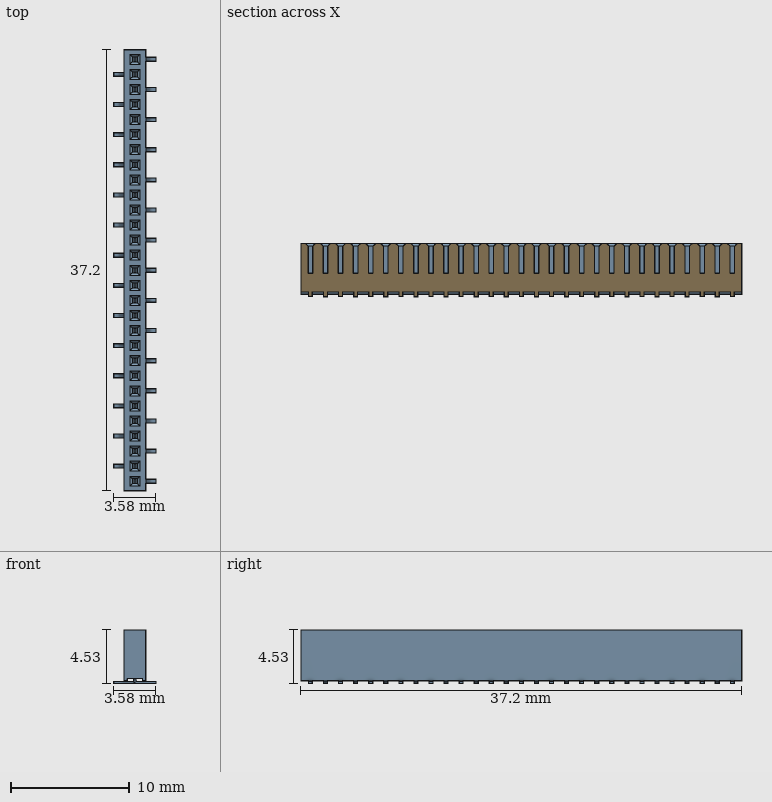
import cadquery as cq
import math


contact_count = 29
pitch = 1.27

total_height = 4.53
housing_height = 4.3
housing_width = 1.84
housing_length = 37.18
channel_width = 1.25
channel_height = 0.2

lead_span = 3.58
lead_thickness = 0.2
lead_width = 0.35
bend_inner_radius = 0.05

mouth_size = 0.84
floor_size = 0.42
funnel_depth = 0.2
slot_width = 0.15
slot_length = 0.36
slot_depth = 2.3

housing_bottom = total_height - housing_height
channel_roof = housing_bottom + channel_height
row_start = -pitch * (contact_count - 1) / 2
contact_positions = [row_start + i * pitch for i in range(contact_count)]


def make_housing():
    """Rectangular bar with a channel along the whole underside."""
    bar = cq.Workplane("XY").workplane(offset=housing_bottom).box(
        housing_width, housing_length, housing_height, centered=(True, True, False)
    )
    channel = cq.Workplane("XY").workplane(offset=housing_bottom).box(
        channel_width, housing_length, channel_height, centered=(True, True, False)
    )
    return bar.cut(channel)


def make_socket():
    """Tapered square lead-in with a narrow contact slot in its floor."""
    floor_z = total_height - funnel_depth
    funnel = (
        cq.Workplane("XY")
        .workplane(offset=floor_z)
        .rect(floor_size, floor_size)
        .workplane(offset=funnel_depth)
        .rect(mouth_size, mouth_size)
        .loft(ruled=True)
    )
    slot = (
        cq.Workplane("XY")
        .workplane(offset=floor_z)
        .rect(slot_width, slot_length)
        .extrude(-slot_depth)
    )
    return funnel.union(slot)


def make_lead(side):
    """Bent strip: a post under the housing that curves into a foot reaching along X towards `side`."""
    inner_radius = bend_inner_radius
    outer_radius = bend_inner_radius + lead_thickness
    post_back_x = -side * lead_thickness / 2
    post_front_x = side * lead_thickness / 2
    bend_x = post_back_x + side * outer_radius
    bend_z = outer_radius
    tip_x = side * lead_span / 2
    diagonal = math.sqrt(0.5)
    return (
        cq.Workplane("XZ")
        .moveTo(post_back_x, channel_roof)
        .lineTo(post_back_x, bend_z)
        .threePointArc(
            (bend_x - side * outer_radius * diagonal, bend_z - outer_radius * diagonal),
            (bend_x, 0),
        )
        .lineTo(tip_x, 0)
        .lineTo(tip_x, lead_thickness)
        .lineTo(bend_x, lead_thickness)
        .threePointArc(
            (bend_x - side * inner_radius * diagonal, bend_z - inner_radius * diagonal),
            (post_front_x, bend_z),
        )
        .lineTo(post_front_x, channel_roof)
        .close()
        .extrude(lead_width / 2, both=True)
    )


def at_contacts(shape, positions):
    """Copies of one shape placed along the row."""
    return [shape.val().translate(cq.Vector(0, y, 0)) for y in positions]


sockets = at_contacts(make_socket(), contact_positions)
right_leads = at_contacts(make_lead(1), contact_positions[0::2])
left_leads = at_contacts(make_lead(-1), contact_positions[1::2])

housing = make_housing().val().cut(*sockets)
result = cq.Workplane("XY").newObject([housing.fuse(*right_leads, *left_leads)])